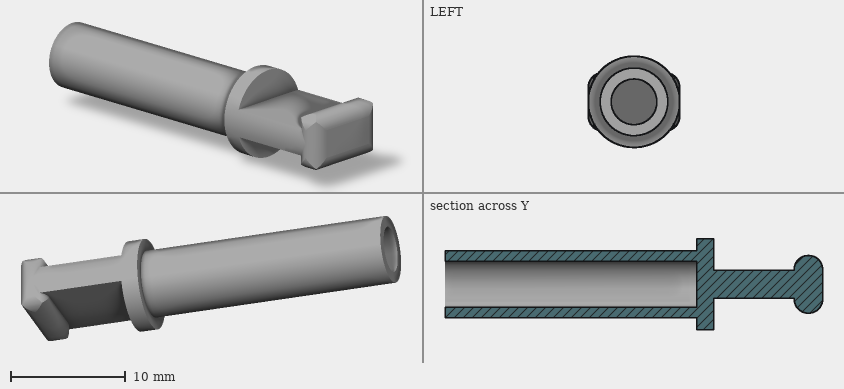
import cadquery as cq

total_length = 33.0
flange_diameter = 8.0

tube_diameter = 5.9
bore_diameter = flange_diameter / 2
tube_length = 21.98
flange_thickness = 1.52

blade_thickness = 2.5
bar_width = 2.55
bar_height = 2 * bar_width
bar_length = flange_diameter
bar_center_x = total_length - bar_width / 2


def rod(diameter, start_x, end_x):
    """Solid cylinder on the X axis."""
    return cq.Workplane("YZ", origin=(start_x, 0, 0)).circle(diameter / 2).extrude(end_x - start_x)


def make_tube():
    return rod(tube_diameter, 0, tube_length).cut(rod(bore_diameter, 0, tube_length))


def make_flange():
    return rod(flange_diameter, tube_length, tube_length + flange_thickness)


def make_blade():
    """Flange-sized round bar with its top and bottom cut flat."""
    slab = cq.Workplane("XY").box(2 * total_length, flange_diameter, blade_thickness)
    return rod(flange_diameter, tube_length, bar_center_x).intersect(slab)


def make_crossbar():
    """Block rounded along all three directions, so three cylinders meet at each corner."""
    block = cq.Workplane("XY").box(bar_width, bar_length, bar_height)
    end_profile = block.edges("|X").fillet(bar_width / 2)
    side_profile = cq.Workplane("XZ").slot2D(bar_height, bar_width, 90).extrude(bar_length / 2, both=True)
    top_profile = cq.Workplane("XY").slot2D(bar_length, bar_width, 90).extrude(bar_height / 2, both=True)
    bar = end_profile.intersect(side_profile).intersect(top_profile)
    return bar.translate((bar_center_x, 0, 0))


result = make_tube().union(make_flange()).union(make_blade()).union(make_crossbar())